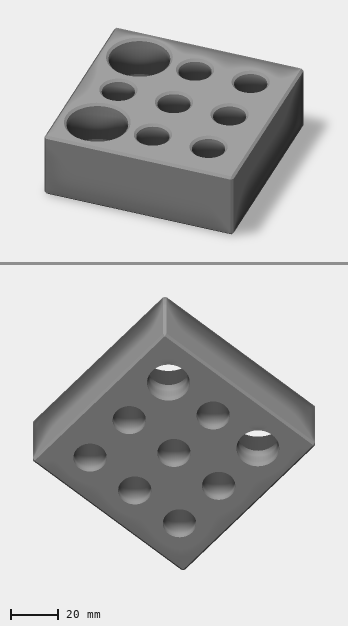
import cadquery as cq

side = 85.0
height = 30.0
edge_chamfer = 1.0

pitch = 25.0
hole_diameter = 14.0
mouth_chamfer = 1.0

bore_diameter = 18.0
counterbore_diameter = 26.0
counterbore_depth = 18.0

stepped_centers = [(-pitch, -pitch), (-pitch, pitch)]
grid_centers = [(i * pitch, j * pitch) for i in (-1, 0, 1) for j in (-1, 0, 1)]
plain_centers = [center for center in grid_centers if center not in stepped_centers]


def make_block():
    """Block standing on Z = 0 with every edge chamfered."""
    block = cq.Workplane("XY").box(side, side, height, centered=(True, True, False))
    return block.edges().chamfer(edge_chamfer)


def hole_cutter(centers, diameter, depth):
    """Cylinders sunk from the top face, widened by a chamfer at the mouth."""
    cylinders = (
        cq.Workplane("XY", origin=(0, 0, height - depth))
        .pushPoints(centers)
        .circle(diameter / 2)
        .extrude(depth)
    )
    mouths = (
        cq.Workplane("XY", origin=(0, 0, height - mouth_chamfer))
        .pushPoints(centers)
        .circle(diameter / 2)
        .extrude(mouth_chamfer, taper=-45)
    )
    return cylinders.union(mouths)


plain_holes = hole_cutter(plain_centers, hole_diameter, height)
counterbores = hole_cutter(stepped_centers, counterbore_diameter, counterbore_depth)
bores = cq.Workplane("XY").pushPoints(stepped_centers).circle(bore_diameter / 2).extrude(height)

result = make_block().cut(plain_holes).cut(counterbores).cut(bores)